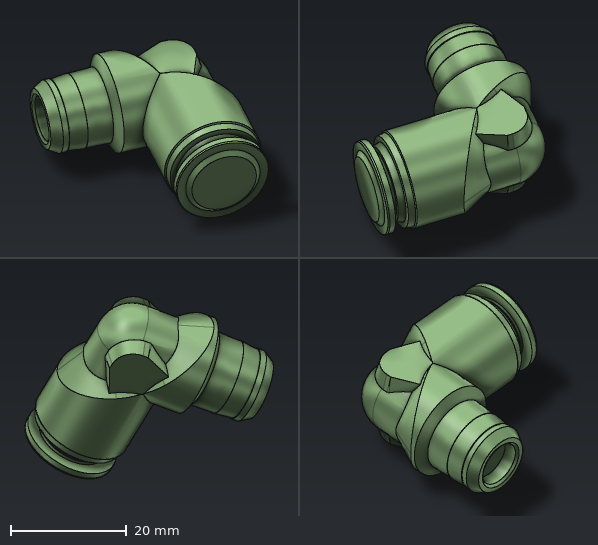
import cadquery as cq
import math


TUBE_END = 26.0
PLUG_END = 24.5

BODY_RADIUS = 8.85
BEND_RADIUS = 6.62
SHOULDER_OFFSET = 6.3
SHOULDER_TILT = 30.0
SHOULDER_TAPER = 50.9
SHOULDER_DEPTH = 4.88
TUBE_BODY_END = 20.07
PLUG_BODY_END = 12.25

PAD_HEIGHT = 8.0
PAD_DRAFT = 15.0
PAD_BASE = 3.5
PAD_ARC_RADIUS = 4.0
PAD_ARC_OFFSET = 0.4
PAD_FLAT = 0.98
PAD_SIDE_LENGTH = 6.9
PAD_SIDE_ANGLE = 24.5

BORE_RADIUS = 4.0
BORE_DEPTH = 2.9
BORE_MOUTH_RADIUS = 4.5
BORE_CHAMFER_DEPTH = 0.42

TUBE_PROFILE = [
    (TUBE_BODY_END, BODY_RADIUS),
    (20.25, 8.57),
    (21.5, 8.3),
    (21.5, 7.2),
    (22.8, 6.8),
    (22.8, 6.0),
    (23.52, 6.0),
    (23.9, 6.27),
    (23.9, 8.47),
    (25.0, 8.47),
    (25.3, 8.35),
    (25.3, 6.8),
    (TUBE_END, 5.9),
]
PLUG_PROFILE = [
    (PLUG_BODY_END, BODY_RADIUS),
    (13.5, 6.8),
    (18.12, 6.7),
    (18.12, 6.75),
    (21.45, 6.38),
    (21.45, 6.55),
    (22.6, 6.55),
    (PLUG_END, 5.45),
]


def turned_end(profile):
    """Revolve a profile about the X axis, closed down to the axis at both ends."""
    start = (profile[0][0], 0)
    end = (profile[-1][0], 0)
    outline = cq.Workplane("XY").polyline([start] + profile + [end]).close()
    return outline.revolve(360, (0, 0, 0), (1, 0, 0))


def shoulder():
    """Drafted shoulder from the slanted end of the body down to the bend, along +X."""
    tilt = math.radians(SHOULDER_TILT)
    towards_bend = (-math.cos(tilt), math.sin(tilt), 0)
    in_plane = (math.sin(tilt), math.cos(tilt), 0)
    plane = cq.Plane((SHOULDER_OFFSET, 0, 0), xDir=in_plane, normal=towards_bend)
    section = cq.Workplane(plane).ellipse(BODY_RADIUS / math.cos(tilt), BODY_RADIUS)
    return section.extrude(SHOULDER_DEPTH, taper=SHOULDER_TAPER)


def arm_body(body_end):
    """Full-radius cylinder along +X, starting at the slanted shoulder plane."""
    half_rise = BODY_RADIUS * math.tan(math.radians(SHOULDER_TILT))
    keep = [
        (SHOULDER_OFFSET - half_rise, -BODY_RADIUS),
        (body_end, -BODY_RADIUS),
        (body_end, BODY_RADIUS),
        (SHOULDER_OFFSET + half_rise, BODY_RADIUS),
    ]
    prism = cq.Workplane("XY").polyline(keep).close().extrude(BODY_RADIUS, both=True)
    cylinder = cq.Workplane("YZ").circle(BODY_RADIUS).extrude(body_end)
    return cylinder.intersect(prism)


def arm(body_end, profile):
    """One complete arm along +X, with its half of the bend."""
    bend = cq.Workplane("YZ").circle(BEND_RADIUS).extrude(body_end)
    return bend.union(arm_body(body_end)).union(shoulder()).union(turned_end(profile))


def across_bend(point):
    """Mirror a point across the bend's symmetry line y = -x."""
    return (-point[1], -point[0])


def pad():
    """Upper pad: an arc round the outside of the bend and sides running into the arms."""
    slope = math.radians(PAD_SIDE_ANGLE)
    diagonal = math.sqrt(0.5) * PAD_ARC_RADIUS
    arc_middle = (PAD_ARC_OFFSET - diagonal, diagonal - PAD_ARC_OFFSET)
    arc_end = (PAD_ARC_OFFSET, PAD_ARC_RADIUS - PAD_ARC_OFFSET)
    flat_end = (arc_end[0] + PAD_FLAT, arc_end[1])
    side_end = (
        flat_end[0] + PAD_SIDE_LENGTH * math.cos(slope),
        flat_end[1] - PAD_SIDE_LENGTH * math.sin(slope),
    )
    crease = SHOULDER_OFFSET / (1 + math.tan(math.radians(SHOULDER_TILT)))
    outline = (
        cq.Workplane("XY", origin=(0, 0, PAD_HEIGHT))
        .moveTo(*across_bend(arc_end))
        .threePointArc(arc_middle, arc_end)
        .lineTo(*flat_end)
        .lineTo(*side_end)
        .lineTo(crease, -crease)
        .lineTo(*across_bend(side_end))
        .lineTo(*across_bend(flat_end))
        .close()
    )
    return outline.extrude(PAD_BASE - PAD_HEIGHT, taper=-PAD_DRAFT)


def bore():
    """Blind flat-bottomed bore with a chamfered mouth in the plug tip."""
    outline = cq.Workplane("XY").polyline([
        (0, -PLUG_END),
        (BORE_MOUTH_RADIUS, -PLUG_END),
        (BORE_RADIUS, BORE_CHAMFER_DEPTH - PLUG_END),
        (BORE_RADIUS, BORE_DEPTH - PLUG_END),
        (0, BORE_DEPTH - PLUG_END),
    ]).close()
    return outline.revolve(360, (0, 0, 0), (0, 1, 0))


tube_arm = arm(TUBE_BODY_END, TUBE_PROFILE)
plug_arm = arm(PLUG_BODY_END, PLUG_PROFILE).rotate((0, 0, 0), (1, -1, 0), 180)
bend_corner = cq.Workplane("XY").sphere(BEND_RADIUS)
upper_pad = pad()
lower_pad = upper_pad.mirror("XY")

result = tube_arm.union(plug_arm).union(bend_corner).union(upper_pad).union(lower_pad).cut(bore())